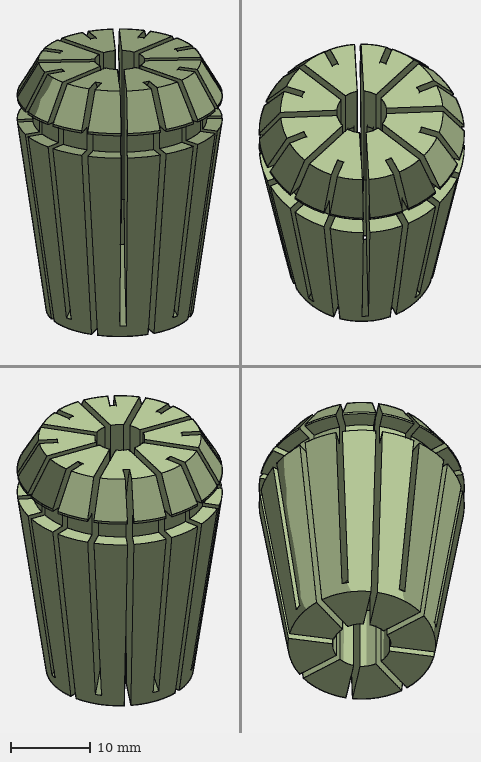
import cadquery as cq
import math


height = 34.0
max_radius = 13.0
body_taper = math.radians(8.0)
head_taper = math.radians(30.0)
groove_bottom = 25.95
groove_top = 29.0
rim_width = 0.3
neck_radius = 11.0

rim_top = groove_top + rim_width
bottom_radius = max_radius - groove_bottom * math.tan(body_taper)
top_radius = max_radius - (height - rim_top) * math.tan(head_taper)

bore_radius = 3.15
relief_radius = 3.67
relief_depth = 13.6

slot_width = 0.8
slots_per_set = 8
slot_pitch = 360.0 / slots_per_set
saw_radius = 30.6
saw_axis_distance = 31.62
upper_saw_height = 22.7
top_slot_tip_radius = 7.92
clearance = 1.7


def saw_drop(radius):
    """Distance along Z from the saw centre to its edge, at a given radius from the collet axis."""
    return math.sqrt(saw_radius**2 - (saw_axis_distance - radius) ** 2)


lower_saw_height = height - saw_drop(top_slot_tip_radius)


def make_body():
    """Tapered body, ring groove and conical head as one revolved outline."""
    outline = [
        (0, 0),
        (bottom_radius, 0),
        (max_radius, groove_bottom),
        (neck_radius, groove_bottom),
        (neck_radius, groove_top),
        (max_radius, groove_top),
        (max_radius, rim_top),
        (top_radius, height),
        (0, height),
    ]
    return cq.Workplane("XZ").polyline(outline).close().revolve(360, (0, 0), (0, 1))


def make_bore():
    grip = cq.Workplane("XY").circle(bore_radius).extrude(height)
    relief = cq.Workplane("XY").circle(relief_radius).extrude(relief_depth)
    return grip.union(relief)


def make_slot(saw_height, open_side):
    """Radial slot along +X with a saw-arc floor, open upward (1) or downward (-1)."""
    inner = bore_radius / 2
    outer = max_radius + clearance
    middle = (inner + outer) / 2
    open_end = height + clearance if open_side > 0 else -clearance

    def floor_point(radius):
        return (radius, saw_height - open_side * saw_drop(radius))

    return (
        cq.Workplane("XZ")
        .moveTo(inner, open_end)
        .lineTo(*floor_point(inner))
        .threePointArc(floor_point(middle), floor_point(outer))
        .lineTo(outer, open_end)
        .close()
        .extrude(slot_width / 2, both=True)
    )


result = make_body().cut(make_bore())

upper_slot = make_slot(upper_saw_height, 1)
lower_slot = make_slot(lower_saw_height, -1)
for index in range(slots_per_set):
    upper_angle = index * slot_pitch
    lower_angle = upper_angle + slot_pitch / 2
    result = result.cut(upper_slot.rotate((0, 0, 0), (0, 0, 1), upper_angle))
    result = result.cut(lower_slot.rotate((0, 0, 0), (0, 0, 1), lower_angle))